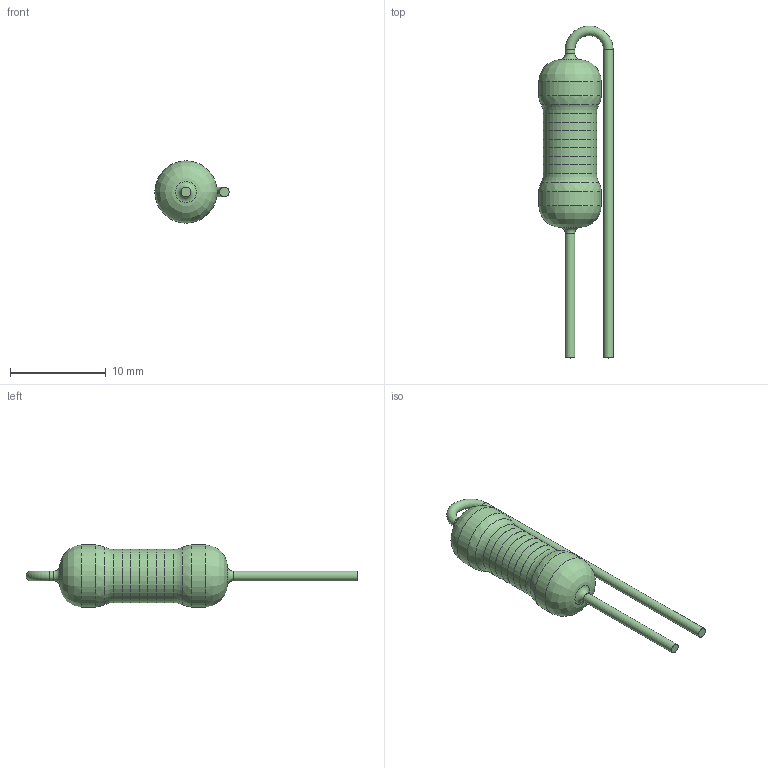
import cadquery as cq
import math


lead_diameter = 1.0
lead_radius = lead_diameter / 2
lead_pitch = 4.0
bend_radius = lead_pitch / 2
overall_length = 34.6

body_length = 17.46
cap_radius = 6.5 / 2
dome_radius = 2.25
cap_land_length = 1.5
waist_radius = 5.53 / 2
band_radius = 5.54 / 2
waist_length = 6.25
section_count = 7

collar_radius = 0.625
collar_straight_length = 0.4

half_body = body_length / 2
waist_end = waist_length / 2
dome_start = half_body - dome_radius
shoulder_start = dome_start - cap_land_length
shoulder_middle = (waist_end + shoulder_start) / 2

shoulder_radius = (waist_radius + cap_radius) / 2

dome_center_radius = cap_radius - dome_radius
collar_center_radius = lead_radius + collar_radius
dome_to_collar = dome_radius + collar_radius
tangent_angle = math.asin((collar_center_radius - dome_center_radius) / dome_to_collar)
collar_end = dome_start + dome_to_collar * math.cos(tangent_angle)
dome_end_radius = dome_center_radius + dome_radius * math.sin(tangent_angle)
dome_end = dome_start + dome_radius * math.cos(tangent_angle)

bend_start = collar_end + collar_straight_length
lead_tip = bend_start + bend_radius + lead_radius - overall_length


def make_body_half():
    """Half of the body: waist, S-shaped shoulder, cap, dome and lead collar."""
    return (
        cq.Workplane("XY")
        .lineTo(waist_radius, 0)
        .lineTo(waist_radius, waist_end)
        .tangentArcPoint((shoulder_radius, shoulder_middle), relative=False)
        .tangentArcPoint((cap_radius, shoulder_start), relative=False)
        .lineTo(cap_radius, dome_start)
        .tangentArcPoint((dome_end_radius, dome_end), relative=False)
        .tangentArcPoint((lead_radius, collar_end), relative=False)
        .lineTo(0, collar_end)
        .close()
        .revolve(360, (0, 0, 0), (0, 1, 0))
    )


def make_body():
    half = make_body_half()
    return half.union(half.mirror("XZ"))


def add_color_bands(body_without_bands):
    """Every second section of the waist is a slightly raised color band."""
    section_length = waist_length / section_count
    body = body_without_bands
    for section in range(1, section_count, 2):
        start = -waist_end + section * section_length
        body = body.union(make_rod(0, start, start + section_length, band_radius))
    return body


def make_rod(x, start, end, radius):
    """Round rod parallel to Y."""
    return cq.Workplane("XZ", origin=(x, start, 0)).circle(radius).extrude(start - end)


def make_leads():
    straight_lead = make_rod(0, lead_tip, bend_start, lead_radius)
    return_lead = make_rod(lead_pitch, lead_tip, bend_start, lead_radius)
    bend = (
        cq.Workplane("XZ", origin=(0, bend_start, 0))
        .circle(lead_radius)
        .revolve(180, (bend_radius, 0, 0), (bend_radius, -1, 0))
    )
    return straight_lead.union(bend).union(return_lead)


result = add_color_bands(make_body()).union(make_leads())